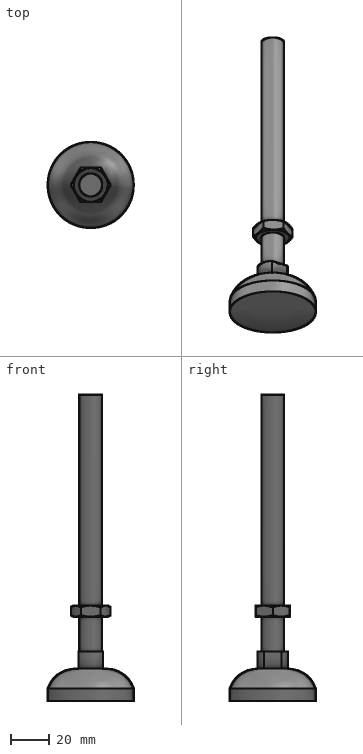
import cadquery as cq
import math

total_height = 160.0

foot_diameter = 45.0
foot_rim_height = 6.5
foot_height = 17.0
foot_top_diameter = 16.0

rod_diameter = 12.0
collar_diameter = 16.0
collar_across_flats = 13.0
collar_top = 26.0

nut_across_flats = 18.0
nut_bottom = 44.0
nut_thickness = 6.0
nut_face_diameter = 17.6
nut_chamfer_angle = 30.0


def make_foot():
    """Revolved disc whose dome arc runs tangent into the flat top."""
    rim_radius = foot_diameter / 2
    top_radius = foot_top_diameter / 2
    dome_width = rim_radius - top_radius
    dome_drop = foot_height - foot_rim_height
    dome_radius = (dome_width**2 + dome_drop**2) / (2 * dome_drop)
    half_sweep = math.asin(dome_width / dome_radius) / 2
    dome_middle = (
        top_radius + dome_radius * math.sin(half_sweep),
        foot_height - dome_radius * (1 - math.cos(half_sweep)),
    )
    return (
        cq.Workplane("XZ")
        .lineTo(rim_radius, 0)
        .lineTo(rim_radius, foot_rim_height)
        .threePointArc(dome_middle, (top_radius, foot_height))
        .lineTo(0, foot_height)
        .close()
        .revolve(360, (0, 0), (0, 1))
    )


def make_stud():
    """Rod standing on a collar that has flats facing -X and +X."""
    collar_height = collar_top - foot_height
    collar = (
        cq.Workplane("XY", origin=(0, 0, foot_height))
        .circle(collar_diameter / 2)
        .extrude(collar_height)
    )
    flats = (
        cq.Workplane("XY", origin=(0, 0, foot_height))
        .rect(collar_across_flats, collar_diameter)
        .extrude(collar_height)
    )
    rod = (
        cq.Workplane("XY", origin=(0, 0, collar_top))
        .circle(rod_diameter / 2)
        .extrude(total_height - collar_top)
    )
    return collar.intersect(flats).union(rod)


def make_nut():
    """Hexagon with corners on the X axis, chamfered on both faces, bored for the rod."""
    corner_radius = nut_across_flats / math.sqrt(3)
    face_radius = nut_face_diameter / 2
    chamfer_height = (corner_radius - face_radius) * math.tan(math.radians(nut_chamfer_angle))
    hexagon = cq.Workplane("XY").polygon(6, 2 * corner_radius).extrude(nut_thickness)
    turned_blank = (
        cq.Workplane("XZ")
        .lineTo(face_radius, 0)
        .lineTo(corner_radius, chamfer_height)
        .lineTo(corner_radius, nut_thickness - chamfer_height)
        .lineTo(face_radius, nut_thickness)
        .lineTo(0, nut_thickness)
        .close()
        .revolve(360, (0, 0), (0, 1))
    )
    bore = cq.Workplane("XY").circle(rod_diameter / 2).extrude(nut_thickness)
    return hexagon.intersect(turned_blank).cut(bore).translate((0, 0, nut_bottom))


foot = make_foot()
stud = make_stud()
nut = make_nut()

result = cq.Compound.makeCompound([foot.val(), stud.val(), nut.val()])